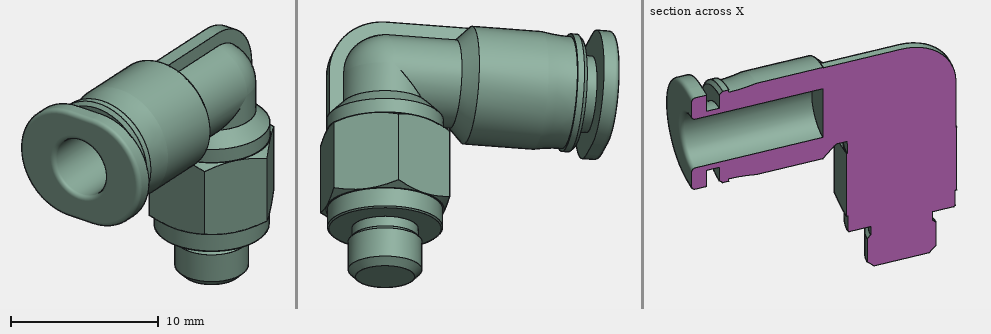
import cadquery as cq
import math


pipe_radius = 3.0
rib_thickness = 1.0
rib_reach = 3.95

collar_radius = rib_reach
shoulder_bottom = -3.0
shoulder_top = shoulder_bottom + (collar_radius - pipe_radius)

hex_across_flats = 8.0
hex_top = -4.0
hex_height = 5.5
hex_bottom = hex_top - hex_height
hex_chamfer_angle = 30.0

washer_radius = 3.9
washer_height = 1.4
washer_chamfer = 0.1
washer_bottom = hex_bottom - washer_height
neck_radius = 2.25
neck_height = 0.7
thread_radius = 2.5
thread_top = washer_bottom - neck_height
thread_bottom = -14.4
thread_lead_in = thread_radius - neck_radius
tip_chamfer = 0.5

socket_radius = 4.0
socket_start = 5.7
socket_cone_start = socket_start - (socket_radius - pipe_radius)
waist_start = 10.5
waist_radius = 3.8
lip_start = 12.5
lip_end = 13.2
lip_chamfer = 0.25

ring_neck_radius = 2.6
ring_start = 14.1
ring_end = 15.2
ring_width = 10.0
ring_height = 8.0
ring_fillet = 0.3

bore_radius = 2.1
bore_fillet = 0.3
bore_depth = ring_end - socket_start


def front_plane(distance):
    """Plane across the tube axis, facing -Y, at a distance from the stem axis."""
    return cq.Workplane("XZ", origin=(0, -distance, 0))


def make_elbow():
    """Two equal pipes joined by a ball at the corner."""
    vertical_pipe = cq.Workplane("XY").circle(pipe_radius).extrude(hex_top)
    horizontal_pipe = front_plane(0).circle(pipe_radius).extrude(socket_start)
    ball = cq.Workplane("XY").sphere(pipe_radius)
    return vertical_pipe.union(horizontal_pipe).union(ball)


def make_rib():
    """Flat web around the outside of the bend, in the YZ plane."""
    arc_mid = rib_reach * math.sqrt(0.5)
    return (
        cq.Workplane("YZ")
        .moveTo(0, shoulder_bottom)
        .lineTo(rib_reach, shoulder_bottom)
        .lineTo(rib_reach, 0)
        .threePointArc((arc_mid, arc_mid), (0, rib_reach))
        .lineTo(-socket_start, rib_reach)
        .lineTo(-socket_start, 0)
        .lineTo(0, 0)
        .close()
        .extrude(rib_thickness / 2, both=True)
    )


def make_collar():
    """Round collar with a conical shoulder, turned about Z."""
    return (
        cq.Workplane("XZ")
        .moveTo(0, shoulder_top)
        .lineTo(pipe_radius, shoulder_top)
        .lineTo(collar_radius, shoulder_bottom)
        .lineTo(collar_radius, hex_top)
        .lineTo(0, hex_top)
        .close()
        .revolve(360, (0, 0, 0), (0, 1, 0))
    )


def make_hexagon():
    """Hexagon with corners on X, its corners turned down at both ends."""
    flat_radius = hex_across_flats / 2
    corner_radius = flat_radius / math.cos(math.radians(30))
    chamfer_drop = (corner_radius - flat_radius) * math.tan(math.radians(hex_chamfer_angle))
    prism = (
        cq.Workplane("XY", origin=(0, 0, hex_bottom))
        .polygon(6, 2 * corner_radius)
        .extrude(hex_height)
    )
    turned_blank = (
        cq.Workplane("XZ")
        .moveTo(0, hex_top)
        .lineTo(flat_radius, hex_top)
        .lineTo(corner_radius, hex_top - chamfer_drop)
        .lineTo(corner_radius, hex_bottom + chamfer_drop)
        .lineTo(flat_radius, hex_bottom)
        .lineTo(0, hex_bottom)
        .close()
        .revolve(360, (0, 0, 0), (0, 1, 0))
    )
    return prism.intersect(turned_blank)


def make_stem():
    """Washer face, undercut neck and plain threaded end, turned about Z."""
    return (
        cq.Workplane("XZ")
        .moveTo(0, hex_bottom)
        .lineTo(washer_radius, hex_bottom)
        .lineTo(washer_radius, washer_bottom + washer_chamfer)
        .lineTo(washer_radius - washer_chamfer, washer_bottom)
        .lineTo(neck_radius, washer_bottom)
        .lineTo(neck_radius, thread_top)
        .lineTo(thread_radius, thread_top - thread_lead_in)
        .lineTo(thread_radius, thread_bottom + tip_chamfer)
        .lineTo(thread_radius - tip_chamfer, thread_bottom)
        .lineTo(0, thread_bottom)
        .close()
        .revolve(360, (0, 0, 0), (0, 1, 0))
    )


def make_socket():
    """Socket body with a curved waist and an end lip, then the release ring's neck."""
    waist_length = lip_start - waist_start
    waist_drop = socket_radius - waist_radius
    arc_radius = (waist_length**2 + waist_drop**2) / (2 * waist_drop)
    half_sweep = math.asin(waist_length / arc_radius) / 2
    arc_mid_radius = waist_radius + arc_radius * (1 - math.cos(half_sweep))
    arc_mid_distance = lip_start - arc_radius * math.sin(half_sweep)
    return (
        cq.Workplane("XY")
        .moveTo(0, -socket_cone_start)
        .lineTo(pipe_radius, -socket_cone_start)
        .lineTo(socket_radius, -socket_start)
        .lineTo(socket_radius, -waist_start)
        .threePointArc((arc_mid_radius, -arc_mid_distance), (waist_radius, -lip_start))
        .lineTo(socket_radius, -lip_start)
        .lineTo(socket_radius, -(lip_end - lip_chamfer))
        .lineTo(socket_radius - lip_chamfer, -lip_end)
        .lineTo(ring_neck_radius, -lip_end)
        .lineTo(ring_neck_radius, -ring_start)
        .lineTo(0, -ring_start)
        .close()
        .revolve(360, (0, 0, 0), (0, 1, 0))
    )


def make_release_ring():
    """Oval flange with a rounded front edge."""
    return (
        front_plane(ring_start)
        .slot2D(ring_width, ring_height)
        .extrude(ring_end - ring_start)
        .faces("<Y")
        .edges()
        .fillet(ring_fillet)
    )


def cut_bore(body):
    """Blind tube bore with a rounded mouth."""
    bore = front_plane(ring_end).circle(bore_radius).extrude(-bore_depth)
    mouth_edge = cq.selectors.RadiusNthSelector(0)
    return body.cut(bore).faces("<Y").edges(mouth_edge).fillet(bore_fillet)


fitting = make_elbow()
for feature in (
    make_rib(),
    make_collar(),
    make_hexagon(),
    make_stem(),
    make_socket(),
    make_release_ring(),
):
    fitting = fitting.union(feature)

result = cut_bore(fitting)